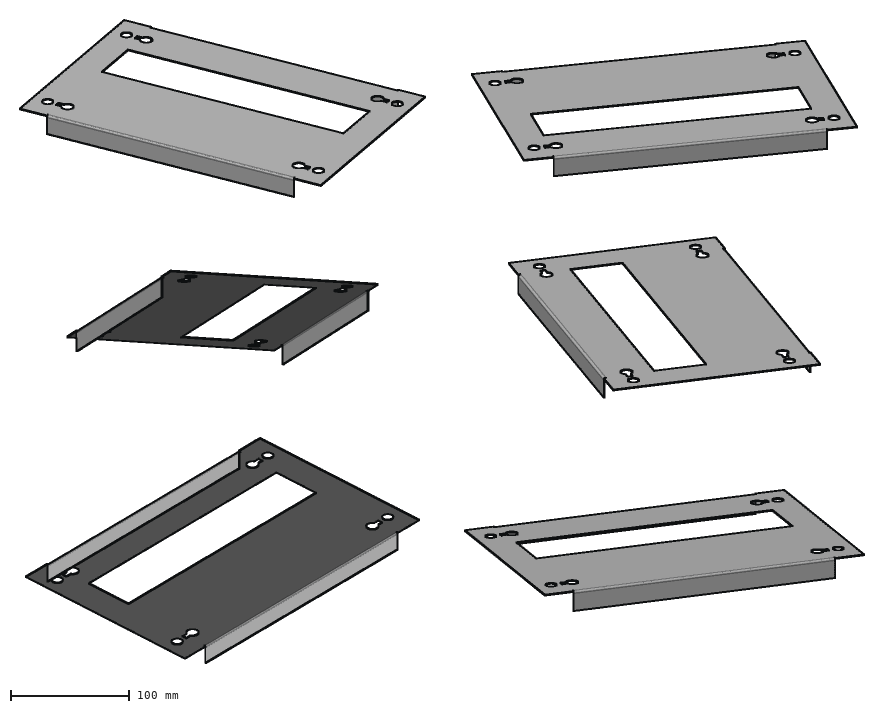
import cadquery as cq

plate_length = 289.0
plate_width = 183.0
part_height = 18.0
sheet_thickness = 1.0

flange_length = 237.0
bend_outer_radius = 2.0
bend_inner_radius = bend_outer_radius - sheet_thickness

window_length = 232.0
window_width = 46.0
window_center_y = 23.1

hole_diameter = 9.6
hole_center_x = 130.0
hole_row_y = 69.0
keyhole_diameter = 10.5
keyhole_center_x = 111.0
keyhole_slot_width = 4.5
keyhole_slot_end_x = 121.0


def make_folded_channel():
    """Channel over the flange length: flat web, rounded bends and both flanges."""
    outer = (
        cq.Workplane("XY")
        .box(flange_length, plate_width, part_height, centered=(True, True, False))
        .translate((0, 0, -part_height))
        .edges("|X and >Z")
        .fillet(bend_outer_radius)
    )
    inner = (
        cq.Workplane("XY")
        .box(
            flange_length,
            plate_width - 2 * sheet_thickness,
            part_height - sheet_thickness,
            centered=(True, True, False),
        )
        .translate((0, 0, -part_height))
        .edges("|X and >Z")
        .fillet(bend_inner_radius)
    )
    return outer.cut(inner)


def make_end_tab(x_sign):
    """Flat end of the plate that reaches past the flanges on one side."""
    tab_length = (plate_length - flange_length) / 2
    tab_center_x = x_sign * (flange_length + tab_length) / 2
    return (
        cq.Workplane("XY")
        .center(tab_center_x, 0)
        .rect(tab_length, plate_width)
        .extrude(-sheet_thickness)
    )


def make_window():
    return (
        cq.Workplane("XY")
        .center(0, window_center_y)
        .rect(window_length, window_width)
        .extrude(-sheet_thickness)
    )


def make_mounting_hole(x_sign, y_sign):
    return (
        cq.Workplane("XY")
        .center(x_sign * hole_center_x, y_sign * hole_row_y)
        .circle(hole_diameter / 2)
        .extrude(-sheet_thickness)
    )


def make_keyhole(x_sign, y_sign):
    """Round entry hole with a narrow square-ended slot pointing to the plate end."""
    slot_length = keyhole_slot_end_x - keyhole_center_x
    entry = (
        cq.Workplane("XY")
        .center(x_sign * keyhole_center_x, y_sign * hole_row_y)
        .circle(keyhole_diameter / 2)
        .extrude(-sheet_thickness)
    )
    slot = (
        cq.Workplane("XY")
        .center(x_sign * (keyhole_center_x + slot_length / 2), y_sign * hole_row_y)
        .rect(slot_length, keyhole_slot_width)
        .extrude(-sheet_thickness)
    )
    return entry.union(slot)


result = make_folded_channel()
for x_sign in (-1, 1):
    result = result.union(make_end_tab(x_sign))

result = result.cut(make_window())
for x_sign in (-1, 1):
    for y_sign in (-1, 1):
        result = result.cut(make_mounting_hole(x_sign, y_sign))
        result = result.cut(make_keyhole(x_sign, y_sign))